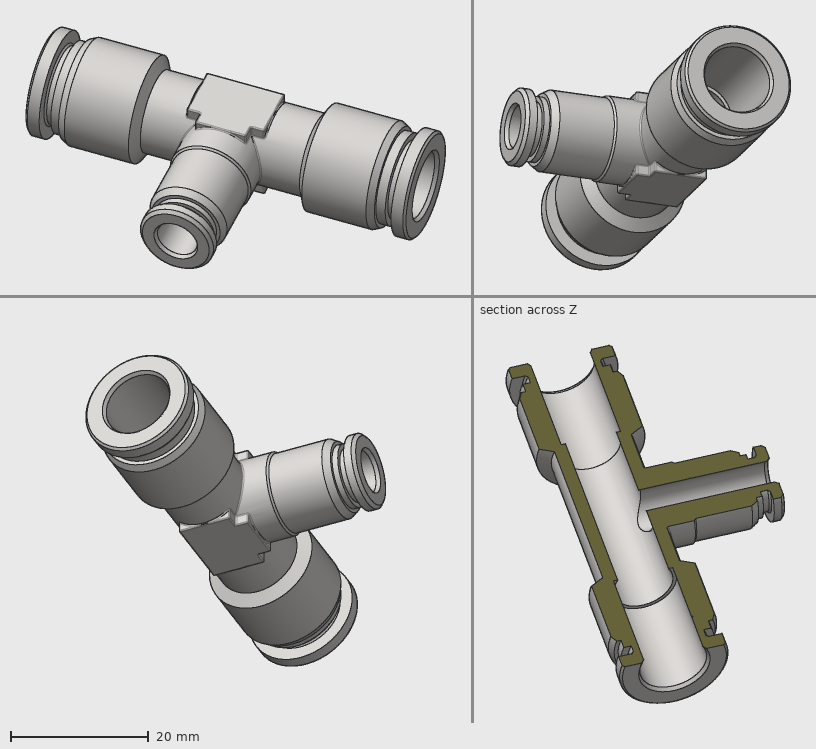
import cadquery as cq

run_half_length = 29.6
branch_length = 23.8

tube_radius = 6.3
bore_radius = 4.5

run_flange_radius = 8.2
run_flange_thickness = 2.2
run_flange_chamfer = 0.35
run_neck_radius = 6.0
run_ring_start = 3.55
run_ring_radius = 7.05
run_body_start = 5.0
run_body_radius = 8.2
run_body_chamfer_length = 1.1
run_body_chamfer_depth = 0.55
run_body_end = 16.1
run_cone_length = 1.1
run_socket_radius = 5.05
run_socket_depth = 16.1
run_socket_mouth_radius = 5.4
run_socket_mouth_depth = 0.6

branch_flange_radius = 5.7
branch_flange_thickness = 1.7
branch_flange_chamfer = 0.5
branch_neck_radius = 4.05
branch_ring_start = 3.05
branch_ring_radius = 4.8
branch_body_start = 3.95
branch_body_radius = 6.0
branch_body_chamfer_length = 1.1
branch_body_chamfer_depth = 0.65
branch_collar_start = 13.5
branch_collar_chamfer = 0.3
branch_bore_radius = 3.1
branch_bore_mouth_radius = 3.4
branch_bore_mouth_depth = 0.6

neck_bevel = 0.3

pad_half_width = 6.05
pad_half_depth = 4.05
pad_stem_half_width = 3.95
pad_front = -6.05
pad_top = 6.5
pad_edge_radius = 0.2
junction_fillet_radius = 0.19


def revolve_about_x(profile):
    """Revolve (x, radius) points, closed along the X axis."""
    first_x = profile[0][0]
    last_x = profile[-1][0]
    outline = [(first_x, 0)] + profile + [(last_x, 0)]
    return cq.Workplane("XY").polyline(outline).close().revolve(360, (0, 0, 0), (1, 0, 0))


def flange_and_neck(flange_radius, thickness, chamfer, neck_radius, neck_end):
    """Profile of a release flange and the neck behind it, from the port face inward."""
    return [
        (0, flange_radius - chamfer),
        (chamfer, flange_radius),
        (thickness, flange_radius),
        (thickness, neck_radius + neck_bevel),
        (thickness + neck_bevel, neck_radius),
        (neck_end, neck_radius),
    ]


def make_run_half():
    """Solid half of the run, port face at x = 0, ending at the centre of the tee."""
    profile = flange_and_neck(
        run_flange_radius, run_flange_thickness, run_flange_chamfer, run_neck_radius, run_ring_start
    )
    profile += [
        (run_ring_start, run_ring_radius),
        (run_body_start, run_ring_radius),
        (run_body_start, run_body_radius - run_body_chamfer_depth),
        (run_body_start + run_body_chamfer_length, run_body_radius),
        (run_body_end, run_body_radius),
        (run_body_end + run_cone_length, tube_radius),
        (run_half_length, tube_radius),
    ]
    return revolve_about_x(profile)


def make_run_half_bore():
    """Tube socket with a chamfered mouth, stepping down to the through bore."""
    return revolve_about_x([
        (0, run_socket_mouth_radius),
        (run_socket_mouth_depth, run_socket_radius),
        (run_socket_depth, run_socket_radius),
        (run_socket_depth, bore_radius),
        (run_half_length, bore_radius),
    ])


def make_branch():
    """Solid branch, port face at x = 0, ending at the centre of the tee."""
    profile = flange_and_neck(
        branch_flange_radius,
        branch_flange_thickness,
        branch_flange_chamfer,
        branch_neck_radius,
        branch_ring_start,
    )
    profile += [
        (branch_ring_start, branch_ring_radius),
        (branch_body_start, branch_ring_radius),
        (branch_body_start, branch_body_radius - branch_body_chamfer_depth),
        (branch_body_start + branch_body_chamfer_length, branch_body_radius),
        (branch_collar_start, branch_body_radius),
        (branch_collar_start + branch_collar_chamfer, tube_radius),
        (branch_length, tube_radius),
    ]
    return revolve_about_x(profile)


def make_branch_bore():
    """Plain branch bore with a chamfered mouth, running to the centre of the tee."""
    return revolve_about_x([
        (0, branch_bore_mouth_radius),
        (branch_bore_mouth_depth, branch_bore_radius),
        (branch_length, branch_bore_radius),
    ])


def place_both_run_ends(half):
    left = half.translate((-run_half_length, 0, 0))
    return left.union(left.mirror("YZ"))


def place_branch(body):
    return body.rotate((0, 0, 0), (0, 0, 1), 90).translate((0, -branch_length, 0))


def make_pad_block():
    """Both label pads as one upright T-shaped block with rounded corners."""
    outline = [
        (-pad_half_width, pad_half_depth),
        (pad_half_width, pad_half_depth),
        (pad_half_width, -pad_half_depth),
        (pad_stem_half_width, -pad_half_depth),
        (pad_stem_half_width, pad_front),
        (-pad_stem_half_width, pad_front),
        (-pad_stem_half_width, -pad_half_depth),
        (-pad_half_width, -pad_half_depth),
    ]
    block = cq.Workplane("XY").polyline(outline).close().extrude(pad_top, both=True)
    return block.edges("|Z").fillet(pad_edge_radius)


def blend_junction(body):
    """Fillet the pads and the branch into the tubes, then round the rims of the pads."""
    reach = (tube_radius + pad_top) / 2
    back_reach = (pad_half_depth + tube_radius) / 2
    junction = cq.selectors.BoxSelector((-reach, -reach, -reach), (reach, back_reach, reach), True)
    blended = body.edges(junction).fillet(junction_fillet_radius)
    return blended.faces(">Z or <Z").edges().fillet(pad_edge_radius)


outside = place_both_run_ends(make_run_half()).union(place_branch(make_branch()))
outside = blend_junction(outside.union(make_pad_block()))
result = outside.cut(place_both_run_ends(make_run_half_bore())).cut(place_branch(make_branch_bore()))